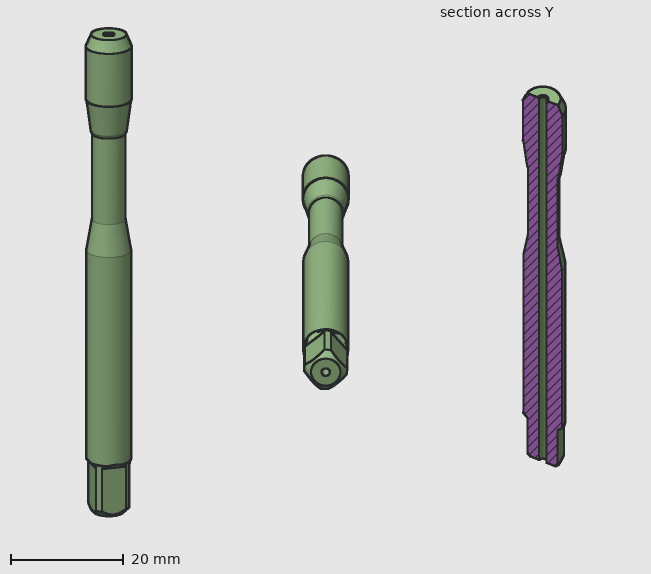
import cadquery as cq

length = 90.0
cut_size = 18.0

head_diameter = 8.2
tip_diameter = 6.3
head_cone_diameter = 8.0
head_cone_end_diameter = 6.5
neck_diameter = 6.0
shank_diameter = 8.0
drive_corner_diameter = 7.65
drive_end_diameter = 5.2
bore_diameter = 1.4
bore_mouth_diameter = 2.0

tip_chamfer_height = 2.25
head_bottom = 77.8
head_cone_bottom = 71.9
neck_top = 71.4
neck_bottom = 55.2
shank_top = 49.3
shank_bottom = 10.0

across_flats = 6.2
flat_height = 9.3


def turned_body():
    """Revolved half profile, from the drive end up to the tip."""
    head_radius = head_diameter / 2
    neck_radius = neck_diameter / 2
    shank_radius = shank_diameter / 2
    corner_radius = drive_corner_diameter / 2
    end_radius = drive_end_diameter / 2
    shoulder = shank_radius - corner_radius
    end_chamfer = corner_radius - end_radius
    profile = [
        (0, 0),
        (end_radius, 0),
        (corner_radius, end_chamfer),
        (corner_radius, shank_bottom - shoulder),
        (shank_radius, shank_bottom),
        (shank_radius, shank_top),
        (neck_radius, neck_bottom),
        (neck_radius, neck_top),
        (head_cone_end_diameter / 2, head_cone_bottom),
        (head_cone_diameter / 2, head_bottom),
        (head_radius, head_bottom),
        (head_radius, length - tip_chamfer_height),
        (tip_diameter / 2, length),
        (0, length),
    ]
    return cq.Workplane("XZ").polyline(profile).close().revolve(360, (0, 0, 0), (0, 1, 0))


def flat_cutter():
    """Removes one drive flat, with a 45 degree run-out into the shank."""
    half_flats = across_flats / 2
    run_out = cut_size - half_flats
    outline = [
        (half_flats, -cut_size),
        (half_flats, flat_height),
        (cut_size, flat_height + run_out),
        (cut_size, -cut_size),
    ]
    return cq.Workplane("XZ").polyline(outline).close().extrude(cut_size / 2, both=True)


result = turned_body()

flat_count = 4
for index in range(flat_count):
    angle = index * 360 / flat_count
    result = result.cut(flat_cutter().rotate((0, 0, 0), (0, 0, 1), angle))

bore = cq.Workplane("XY").circle(bore_diameter / 2).extrude(length)
result = result.cut(bore)

countersink_depth = (bore_mouth_diameter - bore_diameter) / 2
bore_mouth = result.faces(">Z").edges(cq.selectors.RadiusNthSelector(0))
result = bore_mouth.chamfer(countersink_depth)